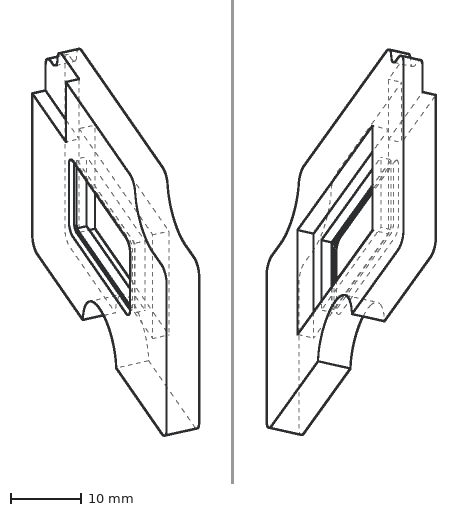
import cadquery as cq
import math

outer_side = 40.65
thickness = 5.0
width = outer_side * math.sqrt(2) - thickness
height = 37.0
turn_angle = -45.0
half_width = width / 2
corner_radius = 2.0

scoop_radius = 7.0
scoop_depth = 7.75
shoulder_flat = 5.4

step_width = 4.68
step_depth = 2 * corner_radius

rebate_width = 13.15
rebate_bottom = 26.65
rebate_depth = 2.05

window_width = 23.85
window_height = 13.1
window_center_height = 18.5
window_corner_radius = 3.2 / 2
window_chamfer = 0.55
frame_lip_depth = 0.95
throat_clearance = 0.05
frame_depth = 2.52

pocket_margin = 2.45

arch_radius = 6.5
arch_center_height = -0.33


def cut_block(left, right, bottom, top, start, stop):
    """Box in plate coordinates; start and stop are distances from the back face."""
    return (
        cq.Workplane("XZ")
        .workplane(offset=start)
        .moveTo((left + right) / 2, (bottom + top) / 2)
        .rect(right - left, top - bottom)
        .extrude(stop - start)
    )


def arc_point(center_x, center_z, radius, degrees):
    """Point on a circle, measured counterclockwise from the plate's right."""
    angle = math.radians(degrees)
    return center_x + radius * math.cos(angle), center_z + radius * math.sin(angle)


def make_plate():
    """Plate outline with the rounded step, the scooped shoulder and the arch."""
    r = corner_radius
    left = -half_width
    right = half_width
    arch_half = math.sqrt(arch_radius**2 - arch_center_height**2)

    shoulder_z = height - scoop_depth
    scoop_x = right - shoulder_flat
    scoop_z = shoulder_z + scoop_radius
    crest_z = height - r
    reach = scoop_radius + r
    crest_x = scoop_x - math.sqrt(reach**2 - (crest_z - scoop_z) ** 2)
    crest_angle = math.degrees(math.asin((scoop_z - crest_z) / reach))
    tangent_point = arc_point(crest_x, crest_z, r, crest_angle)
    scoop_middle = arc_point(scoop_x, scoop_z, scoop_radius, (180 + crest_angle + 270) / 2)

    step_x = left + step_width
    step_z = height - step_depth

    outline = (
        cq.Workplane("XZ")
        .moveTo(-arch_half, 0)
        .threePointArc((0, arch_center_height + arch_radius), (arch_half, 0))
        .lineTo(right - r, 0)
        .threePointArc(arc_point(right - r, r, r, -45), (right, r))
        .lineTo(right, shoulder_z - r)
        .threePointArc(arc_point(right - r, shoulder_z - r, r, 45), (right - r, shoulder_z))
        .lineTo(scoop_x, shoulder_z)
        .threePointArc(scoop_middle, tangent_point)
        .threePointArc(arc_point(crest_x, crest_z, r, (90 + crest_angle) / 2), (crest_x, height))
        .lineTo(step_x + r, height)
        .threePointArc(arc_point(step_x + r, height - r, r, 135), (step_x, height - r))
        .threePointArc(arc_point(step_x - r, step_z + r, r, -45), (step_x - r, step_z))
        .lineTo(left + r, step_z)
        .threePointArc(arc_point(left + r, step_z - r, r, 135), (left, step_z - r))
        .lineTo(left, r)
        .threePointArc(arc_point(left + r, r, r, 225), (left + r, 0))
        .close()
    )
    return outline.extrude(thickness)


def make_rebate():
    """Shallow corner recess that leaves the upper left of the plate thinner."""
    return cut_block(
        -half_width,
        rebate_width - half_width,
        rebate_bottom,
        height,
        thickness - rebate_depth,
        thickness,
    )


def window_block(inset, start, stop):
    """Square-cornered opening, inset on all sides from the window outline."""
    x = window_width / 2 - inset
    z = window_height / 2 - inset
    return cut_block(-x, x, window_center_height - z, window_center_height + z, start, stop)


def make_window():
    """Chamfered frame with a rounded lip, a square throat and a plain rear pocket."""
    lip_back = thickness - frame_lip_depth
    frame_back = thickness - frame_depth
    mouth = (
        cq.Workplane("XZ")
        .workplane(offset=thickness)
        .center(0, window_center_height)
        .sketch()
        .rect(window_width, window_height)
        .vertices()
        .fillet(window_corner_radius)
        .finalize()
        .extrude(-window_chamfer, taper=45)
    )
    lip = window_block(window_chamfer, lip_back, thickness)
    lip = lip.edges("|Y").fillet(window_corner_radius - window_chamfer)
    throat = window_block(window_chamfer - throat_clearance, frame_back, lip_back)
    pocket = window_block(-pocket_margin, 0, frame_back)
    return mouth.union(lip).union(throat).union(pocket)


part = make_plate().cut(make_rebate()).cut(make_window())
result = part.rotate((0, 0, 0), (0, 0, 1), turn_angle)